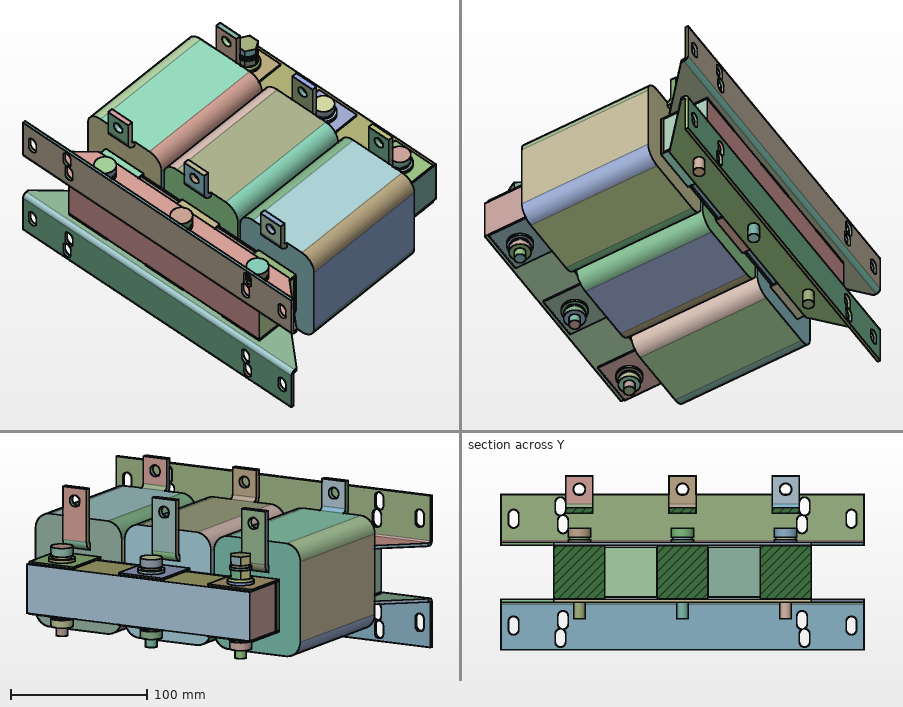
import cadquery as cq
import math


bracket_length = 267.0
overall_depth = 200.5
overall_height = 128.0

leg_pitch = 75.8
leg_width = 37.6
yoke_depth = 38.0
core_height = 36.8
core_front = 7.5
air_gap_sheet = 1.5
seam_step = 0.13
plate_thickness = 1.3
core_width = 2 * leg_pitch + leg_width
core_half = core_height / 2
plate_face = core_half + plate_thickness
front_yoke_y = core_front + yoke_depth / 2
rear_yoke_y = overall_depth - yoke_depth / 2
leg_centres = (-leg_pitch, 0, leg_pitch)

coil_width = 73.2
coil_corner = 12.3
coil_top = 47.5
coil_bottom = -37.6
coil_front = 47.8
coil_length = 109.5
coil_rear = coil_front + coil_length
plate_overhang = 40.0

bracket_edge = 57.1
sheet = 2.5
bracket_bend = 3.7
flange_depth = 40.3
straight_end = 6.0
flange_face = plate_face + sheet
slot_length = 13.4
slot_width = 7.5
slot_centres = ((124.2, 39.2), (89.7, 48.3), (87.8, 35.2))

tab_width = 20.0
tab_thickness = 4.3
tab_bend = 3.0
tab_top = overall_height - bracket_edge
tab_hole = 8.5
tab_hole_z = 61.0
tab_outer_bend = tab_bend + tab_thickness
rear_tab_z = 23.8
rear_tab_projection = 5.5
tab_root = 2.7
front_tab_y = coil_front - tab_outer_bend
front_tab_z = coil_top - tab_thickness

shank_diameter = 8.5
front_head_diameter = 16.5
head_diameter = 16.3
head_height = 6.7
hex_flats = 14.5
spring_diameter = 14.7
spring_height = 2.0
small_washer = 1.5
large_washer_diameter = 19.8
large_washer = 2.1
nut_height = 6.0
large_washer_layer = (large_washer_diameter, large_washer)
spring_layer = (spring_diameter, spring_height)
front_shank_end = -34.2
rear_shank_end = -36.5


def box(x_size, y_min, y_max, z_min, z_max, x=0):
    """Block centred on x with the given Y and Z limits."""
    size = (x_size, y_max - y_min, z_max - z_min)
    return cq.Workplane("XY").box(*size).translate((x, (y_min + y_max) / 2, (z_min + z_max) / 2))


def disc(x, y, z, diameter, height):
    """Upright cylinder standing on height z."""
    return cq.Workplane("XY", origin=(x, y, z)).circle(diameter / 2).extrude(height)


def hexagon(x, y, z, height):
    """Upright hexagon with corners toward +X and -X, standing on height z."""
    across_corners = hex_flats / math.cos(math.pi / 6)
    return cq.Workplane("XY", origin=(x, y, z)).polygon(6, across_corners).extrude(height)


def make_core():
    """Two yokes with air-gap sheets, three legs and the thin plates that cover each leg."""
    yoke = box(core_width, core_front, core_front + yoke_depth, -core_half, core_half)
    core = yoke.union(yoke.translate((0, rear_yoke_y - front_yoke_y, 0)))
    sheet_front = core_front + yoke_depth
    sheet_rear = overall_depth - yoke_depth
    sheet_half = core_half - seam_step
    for y in (sheet_front, sheet_rear - air_gap_sheet):
        core = core.union(box(core_width - 2 * seam_step, y, y + air_gap_sheet, -sheet_half, sheet_half))
    plate_width = leg_width - 2 * seam_step
    plate_front = coil_front - plate_overhang
    plate_rear = coil_rear + plate_overhang
    leg_front = sheet_front + air_gap_sheet
    leg_rear = sheet_rear - air_gap_sheet
    for x in leg_centres:
        core = core.union(box(leg_width, leg_front, leg_rear, -core_half, core_half, x))
        core = core.union(box(plate_width, plate_front, plate_rear, -plate_face, plate_face, x))
    return core


def make_coil(x):
    """Rounded winding block around one leg."""
    coil = box(coil_width, coil_front, coil_rear, coil_bottom, coil_top, x)
    return coil.edges("|Y").fillet(coil_corner)


def make_tab(x, outer_y, bottom_z, outward):
    """Tab that leaves a coil face, bends upward and ends in a drilled lug; outward is the Y direction."""
    def at(depth, rise):
        return (outer_y - outward * depth, bottom_z + rise)

    def arc_middle(radius):
        offset = radius * math.sqrt(0.5)
        return at(tab_outer_bend - offset, tab_outer_bend - offset)

    buried = tab_outer_bend + tab_root
    height = tab_top - bottom_z
    tab = (
        cq.Workplane("YZ", origin=(x - tab_width / 2, 0, 0))
        .moveTo(*at(buried, 0))
        .lineTo(*at(tab_outer_bend, 0))
        .threePointArc(arc_middle(tab_outer_bend), at(0, tab_outer_bend))
        .lineTo(*at(0, height))
        .lineTo(*at(tab_thickness, height))
        .lineTo(*at(tab_thickness, tab_outer_bend))
        .threePointArc(arc_middle(tab_bend), at(tab_outer_bend, tab_thickness))
        .lineTo(*at(buried, tab_thickness))
        .close()
        .extrude(tab_width)
    )
    hole = (
        cq.Workplane("XZ", origin=(x, outer_y, tab_hole_z))
        .circle(tab_hole / 2)
        .extrude(tab_outer_bend, both=True)
    )
    return tab.cut(hole)


def make_upper_bracket():
    """Bent angle with a tapered flange on the core and a slotted mounting flange."""
    half = bracket_length / 2
    angle = box(bracket_length, 0, flange_depth, plate_face, bracket_edge)
    angle = angle.edges("|X and <Y and <Z").fillet(bracket_bend)
    inside = box(bracket_length, sheet, flange_depth, flange_face, bracket_edge)
    inside = inside.edges("|X and <Y and <Z").fillet(bracket_bend - sheet)
    outline = (
        cq.Workplane("XY")
        .polyline([
            (-half, 0),
            (half, 0),
            (half, straight_end),
            (core_width / 2, flange_depth),
            (-core_width / 2, flange_depth),
            (-half, straight_end),
        ])
        .close()
        .extrude(bracket_edge)
    )
    slots = (
        cq.Workplane("XZ")
        .pushPoints([(side * x, z) for x, z in slot_centres for side in (-1, 1)])
        .slot2D(slot_length, slot_width, 90)
        .extrude(-sheet)
    )
    return angle.cut(inside).intersect(outline).cut(slots)


def stack(x, y, z, layers):
    """Discs piled upward from height z; each layer is (diameter, height)."""
    pile = cq.Workplane("XY")
    for diameter, height in layers:
        pile = pile.union(disc(x, y, z, diameter, height))
        z += height
    return pile


def make_front_bolt(x):
    """Cap screw through the bracket with washer and spring washer."""
    layers = (
        (front_head_diameter, small_washer),
        spring_layer,
        (front_head_diameter, head_height),
    )
    head = stack(x, front_yoke_y, flange_face, layers)
    return head.union(disc(x, front_yoke_y, front_shank_end, shank_diameter, flange_face - front_shank_end))


def make_rear_shank(x):
    """Shank of a rear bolt with the washers and round nut below the core."""
    layers = (large_washer_layer, spring_layer, (head_diameter, nut_height))
    lower = stack(x, rear_yoke_y, plate_face, layers).mirror("XY")
    return lower.union(disc(x, rear_yoke_y, rear_shank_end, shank_diameter, plate_face - rear_shank_end))


def make_cap_head(x):
    """Round head with washers on top of a rear bolt."""
    layers = (large_washer_layer, spring_layer, (head_diameter, head_height))
    return stack(x, rear_yoke_y, plate_face, layers)


def make_earth_stack(x):
    """Conical washer, hexagon nut, washers and hexagon head on top of a rear bolt."""
    cone_z = plate_face + large_washer
    nut_z = cone_z + spring_height
    washer_z = nut_z + head_height
    head_z = washer_z + 2 * spring_height
    base = disc(x, rear_yoke_y, plate_face, large_washer_diameter, large_washer)
    cone = (
        cq.Workplane("XY", origin=(x, rear_yoke_y, cone_z))
        .circle(large_washer_diameter / 2)
        .workplane(offset=spring_height)
        .circle(head_diameter / 2)
        .loft()
    )
    washers = stack(x, rear_yoke_y, washer_z, ((head_diameter, spring_height), spring_layer))
    nut = hexagon(x, rear_yoke_y, nut_z, head_height)
    head = hexagon(x, rear_yoke_y, head_z, head_height)
    return base.union(cone).union(nut).union(washers).union(head)


result = make_core()
upper_bracket = make_upper_bracket()
result = result.union(upper_bracket).union(upper_bracket.mirror("XY"))
for leg_x in leg_centres:
    result = result.union(make_coil(leg_x))
    result = result.union(make_tab(leg_x, front_tab_y, front_tab_z, -1))
    result = result.union(make_tab(leg_x, coil_rear + rear_tab_projection, rear_tab_z, 1))
    result = result.union(make_front_bolt(leg_x))
    result = result.union(make_rear_shank(leg_x))
for leg_x in leg_centres[1:]:
    result = result.union(make_cap_head(leg_x))
result = result.union(make_earth_stack(leg_centres[0]))